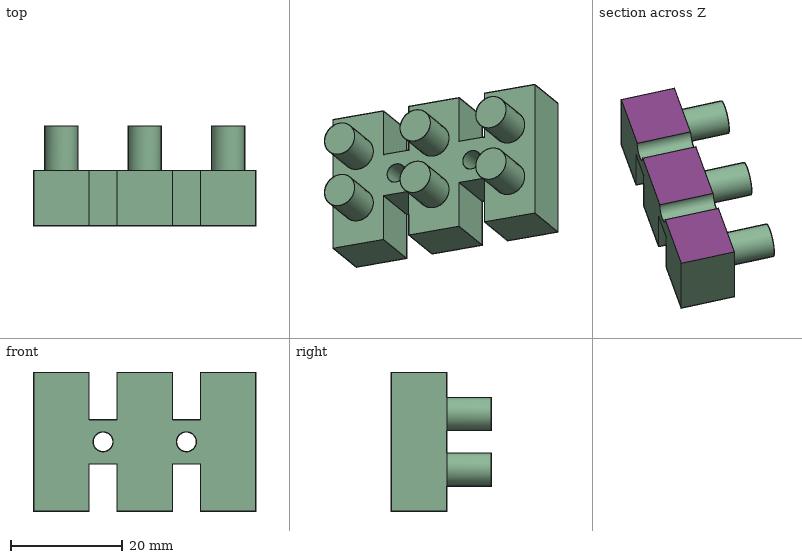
import cadquery as cq

block_count = 3
block_width = 10.0
block_depth = 10.0
block_height = 25.0
gap = 5.0
web_height = 8.0
pitch = block_width + gap
row_length = block_count * block_width + (block_count - 1) * gap

hole_diameter = 3.5
pin_diameter = 6.0
pin_length = 8.0
pin_spacing = 10.0


def centred_row(count):
    """X positions of evenly pitched features centred on the part."""
    return [(i - (count - 1) / 2) * pitch for i in range(count)]


def back_plane():
    """XZ plane on the back face, with its normal toward +Y."""
    return cq.Plane(origin=(0, block_depth, 0), xDir=(1, 0, 0), normal=(0, 1, 0))


front_at_origin = (True, False, True)
body = cq.Workplane("XY").box(row_length, block_depth, web_height, centered=front_at_origin)
for x in centred_row(block_count):
    block = cq.Workplane("XY").box(block_width, block_depth, block_height, centered=front_at_origin)
    body = body.union(block.translate((x, 0, 0)))

hole_points = [(x, 0) for x in centred_row(block_count - 1)]
holes = cq.Workplane(back_plane()).pushPoints(hole_points).circle(hole_diameter / 2).extrude(-block_depth)

pin_points = [(x, side * pin_spacing / 2) for x in centred_row(block_count) for side in (-1, 1)]
pins = cq.Workplane(back_plane()).pushPoints(pin_points).circle(pin_diameter / 2).extrude(pin_length)

result = body.cut(holes).union(pins)